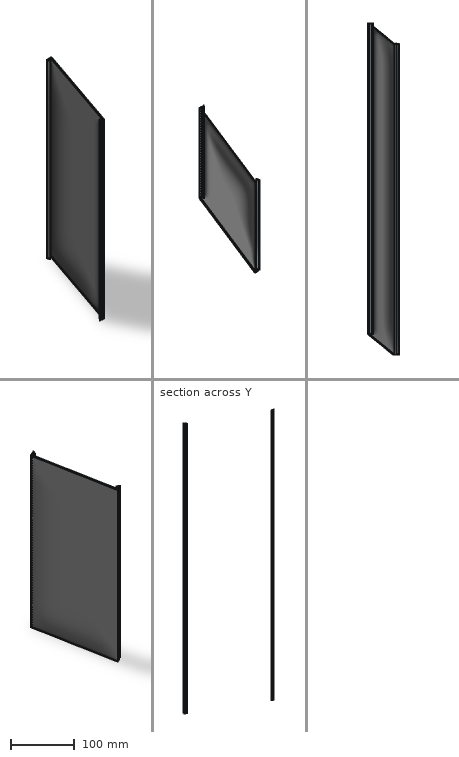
import cadquery as cq

LENGTH = 500.0
WIDTH = 150.5
DEPTH = 9.0
SHEET_COUNT = 2
SHEET_THICKNESS = 0.5
WEB_THICKNESS = 1.0
LEG_THICKNESS = 1.75
HOOK_REACH = 5.0
BEVEL_REACH = 4.0

COVER_REAR = SHEET_COUNT * SHEET_THICKNESS
WEB_FRONT = COVER_REAR + WEB_THICKNESS
HOOK_BACK = 5.5
BEVEL_FRONT = 6.5
GROOVE_START = 5.0
GROOVE_FLOOR_START = 5.75
GROOVE_FLOOR_END = 8.0

GROOVE_UNDERCUT = 1.25
GROOVE_FLOOR_REAR = 0.5
GROOVE_FLOOR_FRONT = 0.8

REAR = DEPTH / 2
BOTTOM = -LENGTH / 2
HALF_WIDTH = WIDTH / 2


def make_sheet(index):
    """Plain flat sheet; index counts the sheets forward from the rear."""
    middle = REAR - (index + 0.5) * SHEET_THICKNESS
    return (
        cq.Workplane("XY", origin=(0, middle, BOTTOM))
        .rect(WIDTH, SHEET_THICKNESS)
        .extrude(LENGTH)
    )


def half_outline():
    """Right half of the cover's section as (x, distance from the rear) points."""
    inner = HALF_WIDTH - LEG_THICKNESS
    nose = HALF_WIDTH - HOOK_REACH
    return [
        (HALF_WIDTH, COVER_REAR),
        (HALF_WIDTH, GROOVE_START),
        (HALF_WIDTH - GROOVE_UNDERCUT, GROOVE_START),
        (HALF_WIDTH - GROOVE_FLOOR_REAR, GROOVE_FLOOR_START),
        (HALF_WIDTH - GROOVE_FLOOR_FRONT, GROOVE_FLOOR_END),
        (HALF_WIDTH, DEPTH),
        (HALF_WIDTH - BEVEL_REACH, BEVEL_FRONT),
        (nose, HOOK_BACK),
        (inner, HOOK_BACK),
        (inner, WEB_FRONT),
    ]


def make_cover():
    """Front panel with a grooved, hooked leg along each long edge."""
    right = half_outline()
    left = [(-x, distance) for x, distance in reversed(right)]
    return (
        cq.Workplane("XY", origin=(0, 0, BOTTOM))
        .polyline([(x, REAR - distance) for x, distance in right + left])
        .close()
        .extrude(LENGTH)
    )


sheets = [make_sheet(index) for index in range(SHEET_COUNT)]
cover = make_cover()

result = cq.Compound.makeCompound([cover.val(), *[sheet.val() for sheet in sheets]])